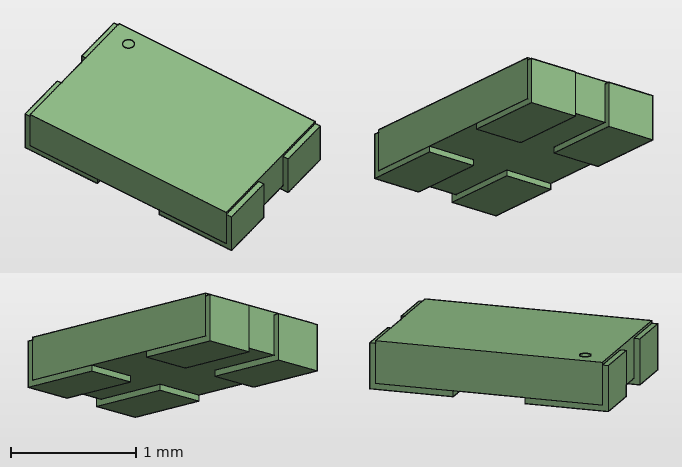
import cadquery as cq

LENGTH = 2.01
WIDTH = 1.24
HEIGHT = 0.41

MARK_DIAMETER = 0.095
MARK_THICKNESS = 0.005
MARK_X = -0.762
MARK_Y = 0.475

PLATE_THICKNESS = 0.05
TERMINAL_WIDTH = 0.45
TERMINAL_HEIGHT = 0.384
FOOT_LENGTH = 0.704

HOUSING_LENGTH = LENGTH - 2 * PLATE_THICKNESS
HOUSING_HEIGHT = HEIGHT - MARK_THICKNESS - PLATE_THICKNESS


def make_mark():
    """Thin disc resting on the housing near one corner."""
    return (
        cq.Workplane("XY", origin=(MARK_X, MARK_Y, HEIGHT - MARK_THICKNESS))
        .circle(MARK_DIAMETER / 2)
        .extrude(MARK_THICKNESS)
    )


def make_housing():
    """Plain rectangular block raised to the top of the terminal feet."""
    return cq.Workplane("XY", origin=(0, 0, PLATE_THICKNESS)).box(
        HOUSING_LENGTH, WIDTH, HOUSING_HEIGHT, centered=(True, True, False)
    )


def make_terminal(x_side, y_side):
    """L-shaped terminal at the corner given by the signs of X and Y."""
    outer_x = x_side * LENGTH / 2
    inner_x = x_side * HOUSING_LENGTH / 2
    foot_end_x = x_side * (LENGTH / 2 - FOOT_LENGTH)
    center_y = y_side * (WIDTH - TERMINAL_WIDTH) / 2
    profile = [
        (outer_x, 0),
        (outer_x, TERMINAL_HEIGHT),
        (inner_x, TERMINAL_HEIGHT),
        (inner_x, PLATE_THICKNESS),
        (foot_end_x, PLATE_THICKNESS),
        (foot_end_x, 0),
    ]
    return (
        cq.Workplane("XZ", origin=(0, center_y, 0))
        .polyline(profile)
        .close()
        .extrude(TERMINAL_WIDTH / 2, both=True)
    )


mark = make_mark()
housing = make_housing()
terminals = [make_terminal(x_side, y_side) for x_side in (-1, 1) for y_side in (-1, 1)]

result = cq.Compound.makeCompound(
    [housing.val(), mark.val(), *[terminal.val() for terminal in terminals]]
)